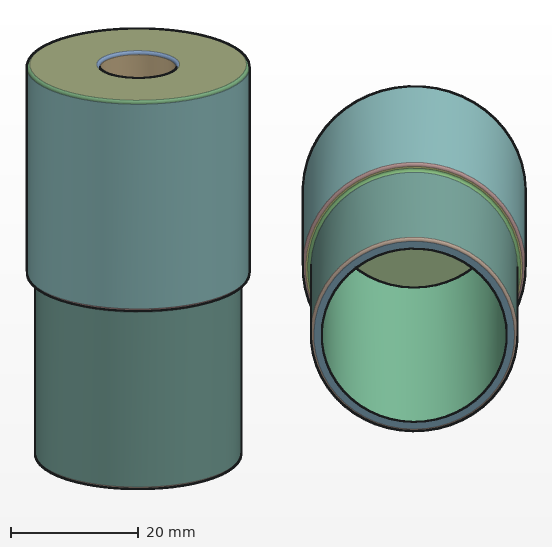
import cadquery as cq

total_length = 65.0
head_diameter = 35.0
shank_diameter = 32.45
head_length = 35.0

hole_diameter = 11.95
end_wall = 5.0
cavity_diameter = 29.0

edge_radius = 0.5

shank_length = total_length - head_length
cavity_depth = total_length - end_wall

smallest_circle = cq.selectors.RadiusNthSelector(0)


def make_body():
    """Shank and larger head, with a rounded inner corner at the shoulder."""
    shank = cq.Workplane("XY").circle(shank_diameter / 2).extrude(shank_length)
    shank = shank.faces("<Z").edges().fillet(edge_radius)
    head = cq.Workplane("XY").workplane(offset=shank_length)
    head = head.circle(head_diameter / 2).extrude(head_length)
    head = head.edges("%CIRCLE").fillet(edge_radius)
    body = shank.union(head)
    shoulder = body.faces(cq.selectors.NearestToPointSelector((0, 0, shank_length)))
    return shoulder.edges(smallest_circle).fillet(edge_radius)


def cut_interior(body):
    """Cavity open at the bottom and a round-mouthed hole through the end wall."""
    cavity = cq.Workplane("XY").circle(cavity_diameter / 2).extrude(cavity_depth)
    body = body.cut(cavity)
    body = body.faces(">Z").workplane().hole(hole_diameter)
    return body.faces(">Z").edges(smallest_circle).fillet(edge_radius)


result = cut_interior(make_body())